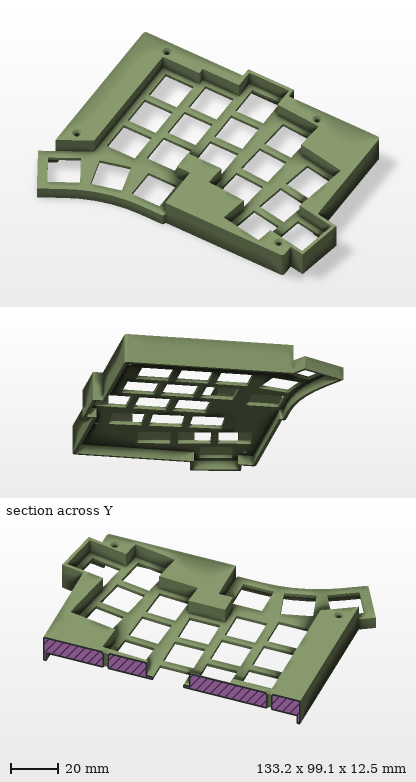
import cadquery as cq
import math

case_height = 12.5
plate_top = 5.6
plate_thickness = 1.5
plate_underside = plate_top - plate_thickness
wall = 1.5

body_length = 116.5
body_width = 78.9
body_corner_radius = 1.3

opening = 13.8
pitch_x = 18.0
pitch_y = 17.0
cell_margin = 0.8
cell_length = pitch_x + 2 * cell_margin
cell_width = pitch_y + 2 * cell_margin
rows = 3

first_column_x = 24.0
first_column_y = 44.2
second_column_rise = 2.8
third_column_rise = 11.2
ring_tilt = -4.0
little_tilt = -10.0
upright_columns = [
    (first_column_x, first_column_y, 0.0),
    (first_column_x + pitch_x, first_column_y + second_column_rise, 0.0),
    (first_column_x + 2 * pitch_x, first_column_y + third_column_rise, 0.0),
]
tilted_columns = [
    (79.3, 45.3, ring_tilt),
    (97.8, 30.0, little_tilt),
]
wedge_overlap = 3.3
outer_key = (113.8, 17.6, little_tilt)

thumb_key_x = 47.0
thumb_key_y = 9.3
thumb_radius = 76.4
thumb_step = 15.0
thumb_key_count = 3
thumb_corner_radius = 0.9
thumb_half_length = cell_length / 2 + wall
thumb_half_width = cell_width / 2 + wall
thumb_centre_y = thumb_key_y - thumb_radius
thumb_fan = thumb_step * (thumb_key_count - 1)

screw_diameter = 2.0
screw_head_diameter = 4.1
screw_head_angle = 90.0
screw_places = [(14.1, 74.0), (88.2, 74.0), (5.7, 14.6), (110.9, 5.7)]


def column_keys(x, y, tilt):
    """Keys of one column, spaced along its tilted axis about the middle key."""
    angle = math.radians(tilt)
    steps = [(row - (rows - 1) / 2) * pitch_y for row in range(rows)]
    return [(x - step * math.sin(angle), y + step * math.cos(angle), tilt) for step in steps]


def shifted_key(key, along):
    """Key moved along its own row direction by a distance."""
    x, y, tilt = key
    angle = math.radians(tilt)
    return (x + along * math.cos(angle), y + along * math.sin(angle), tilt)


def thumb_point(angle_degrees, radius, along=0.0):
    """Point at a fan angle and radius, moved along the tangent by a distance."""
    angle = math.radians(angle_degrees)
    x = thumb_key_x - radius * math.sin(angle) + along * math.cos(angle)
    y = thumb_centre_y + radius * math.cos(angle) + along * math.sin(angle)
    return (x, y)


def key_block(key, length, width, bottom, top):
    """Rectangular block centred on a key and turned with it."""
    x, y, tilt = key
    block = cq.Workplane("XY").box(length, width, top - bottom, centered=(True, True, False))
    return block.rotate((0, 0, 0), (0, 0, 1), tilt).translate((x, y, bottom))


def body_block(inset, bottom, top):
    """Main body rectangle, drawn in from its edges by the inset."""
    length = body_length - 2 * inset
    width = body_width - 2 * inset
    block = cq.Workplane("XY").box(length, width, top - bottom, centered=(True, True, False))
    return block.translate((body_length / 2, body_width / 2, bottom))


def thumb_block(inset, bottom, top):
    """Thumb area: curved lower edge, straight ends, joined to the first two finger columns."""
    half_length = thumb_half_length - inset
    inner_radius = thumb_radius - thumb_half_width + inset
    outer_radius = thumb_radius + thumb_half_width - inset
    left = first_column_x - cell_length / 2
    join_right = first_column_x + pitch_x + cell_length / 2
    upper_left = thumb_point(thumb_fan, outer_radius, -half_length)
    join_low = upper_left[1] + (left - upper_left[0]) * math.tan(math.radians(thumb_fan))
    join_high = first_column_y - pitch_y
    right = thumb_key_x + half_length
    outline = (
        cq.Workplane("XY", origin=(0, 0, bottom))
        .moveTo(*upper_left)
        .lineTo(left, join_low)
        .lineTo(left, join_high)
        .lineTo(join_right, join_high)
        .lineTo(join_right, thumb_centre_y + outer_radius)
        .lineTo(right, thumb_centre_y + outer_radius)
        .lineTo(right, thumb_centre_y + inner_radius)
        .lineTo(*thumb_point(0, inner_radius))
        .threePointArc(thumb_point(thumb_fan / 2, inner_radius), thumb_point(thumb_fan, inner_radius))
        .lineTo(*thumb_point(thumb_fan, inner_radius, -half_length))
        .close()
    )
    block = outline.extrude(top - bottom)
    corner = (right, thumb_centre_y + inner_radius, (bottom + top) / 2)
    return block.edges(cq.NearestToPointSelector(corner)).fillet(thumb_corner_radius)


columns = upright_columns + tilted_columns
finger_keys = [key for column in columns for key in column_keys(*column)] + [outer_key]
thumb_keys = [
    (*thumb_point(index * thumb_step, thumb_radius), index * thumb_step)
    for index in range(thumb_key_count)
]
third_column_top_key = column_keys(*upright_columns[-1])[-1]
overhanging_keys = [third_column_top_key, outer_key]

case = body_block(0, 0, case_height).edges("|Z").fillet(body_corner_radius)
for key in overhanging_keys:
    case = case.union(key_block(key, cell_length + 2 * wall, cell_width + 2 * wall, 0, case_height))
case = case.union(thumb_block(0, 0, plate_top))

case = case.cut(thumb_block(0, plate_top, case_height))
for key in finger_keys:
    case = case.cut(key_block(key, cell_length, cell_width, plate_top, case_height))

for column in tilted_columns:
    for key in column_keys(*column)[1:]:
        gap_key = shifted_key(key, -wedge_overlap)
        case = case.cut(key_block(gap_key, cell_length, cell_width, plate_top, case_height))

hollow = body_block(wall, 0, plate_underside).union(thumb_block(wall, 0, plate_underside))
for key in overhanging_keys:
    hollow = hollow.union(key_block(key, cell_length, cell_width, 0, plate_underside))
case = case.cut(hollow)

for key in finger_keys + thumb_keys:
    case = case.cut(key_block(key, opening, opening, 0, plate_top))

result = (
    case.faces(">Z")
    .workplane(origin=(0, 0, case_height))
    .pushPoints(screw_places)
    .cskHole(screw_diameter, screw_head_diameter, screw_head_angle)
)